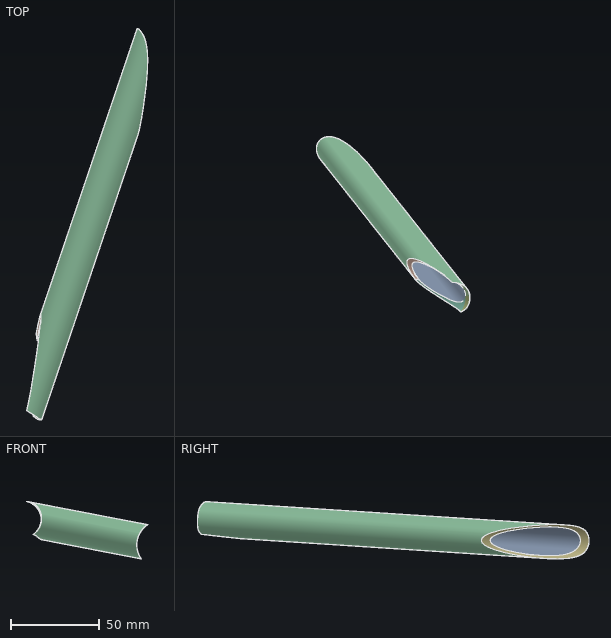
import cadquery as cq
TUBE_RADIUS = 9.94
WALL = 1.63
TUBE_START = cq.Vector(-36.08, -109.18, 6.67)
TUBE_DIRECTION = cq.Vector(0.3377, 1, -0.065).normalized()
STOCK_LENGTH = 290

NEAR_COPE_RADIUS = 10.4
NEAR_COPE_CENTRE = cq.Vector(-37.46, -108.57, 6.33)
SLOPED_CUTTER_DROP = 0.323
SLOPED_CUTTER_OVERLAP = 40

FAR_COPE_RADIUS = 13.83
FAR_COPE_CENTRE = cq.Vector(41.15, 0, -8.14)

Y_AXIS = cq.Vector(0, 1, 0)
SLOPED_AXIS = cq.Vector(0, 1, -SLOPED_CUTTER_DROP).normalized()
CUTTER_REACH = 300
BORE_CLEARANCE = 1


def round_bar(point, direction, radius, start, end):
    """Cylinder about the axis through point, between two distances along it."""
    foot = point + direction * start
    return cq.Workplane(cq.Solid.makeCylinder(radius, end - start, foot, direction))


def tube_stock():
    outside = round_bar(TUBE_START, TUBE_DIRECTION, TUBE_RADIUS, 0, STOCK_LENGTH)
    bore = round_bar(
        TUBE_START,
        TUBE_DIRECTION,
        TUBE_RADIUS - WALL,
        -BORE_CLEARANCE,
        STOCK_LENGTH + BORE_CLEARANCE,
    )
    return outside.cut(bore)


def cut_near_cope(tube):
    level = round_bar(NEAR_COPE_CENTRE, Y_AXIS, NEAR_COPE_RADIUS, -CUTTER_REACH, CUTTER_REACH)
    sloped = round_bar(
        NEAR_COPE_CENTRE, SLOPED_AXIS, NEAR_COPE_RADIUS, -SLOPED_CUTTER_OVERLAP, CUTTER_REACH
    )
    return tube.cut(level).cut(sloped)


def cut_far_cope(tube):
    return tube.cut(
        round_bar(FAR_COPE_CENTRE, Y_AXIS, FAR_COPE_RADIUS, -CUTTER_REACH, CUTTER_REACH)
    )


def middle_length(pieces):
    """The copes part the stock; the piece between them has its centre nearest X = 0."""
    return min(pieces.solids().vals(), key=lambda piece: abs(piece.Center().x))


result = cq.Workplane(middle_length(cut_far_cope(cut_near_cope(tube_stock()))))